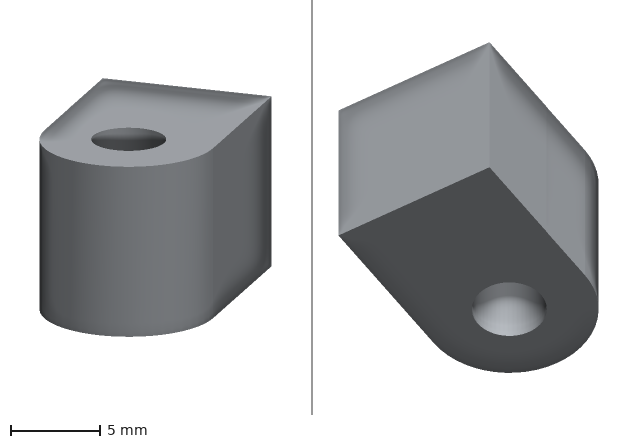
import cadquery as cq

lug_width = 10.0
height = 10.01
length = 15.0
base_length = 6.0
base_overhang = 0.01
bore_diameter = 4.2

end_radius = lug_width / 2
straight_length = length - end_radius
base_width = lug_width + base_overhang


def lug():
    """Block with a full-round end at -Y, centred on the bore axis."""
    return (
        cq.Workplane("XY")
        .moveTo(end_radius, 0)
        .lineTo(end_radius, straight_length)
        .lineTo(-end_radius, straight_length)
        .lineTo(-end_radius, 0)
        .threePointArc((0, -end_radius), (end_radius, 0))
        .close()
        .extrude(height)
    )


def base_block():
    """Block at the +Y end, flush with the lug on +X and very slightly proud of it on -X."""
    base_corner = (-end_radius - base_overhang, straight_length - base_length)
    return (
        cq.Workplane("XY")
        .moveTo(*base_corner)
        .rect(base_width, base_length, centered=False)
        .extrude(height)
    )


def bore():
    """Through bore concentric with the rounded end."""
    return cq.Workplane("XY").circle(bore_diameter / 2).extrude(height)


result = lug().union(base_block()).cut(bore())